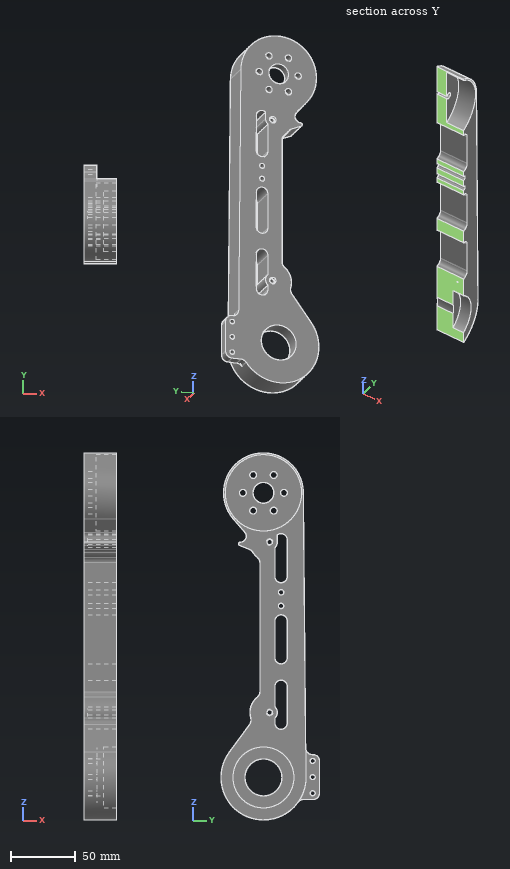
import cadquery as cq
import math

total_height = 286
total_depth = 77.0
thickness = 25.5
blend_radius = 5.1

large_radius = 33.2
small_radius = 31.2
end_spacing = total_height - large_radius - small_radius
large_bore_radius = 14.3
small_bore_radius = 8.0
large_seat_radius = 23.7
large_seat_depth = 10.0
small_pocket_radius = 29.7
small_pocket_depth = 16.0
small_end = (0, end_spacing)

bolt_count = 6
bolt_circle_radius = 16.0
bolt_hole_radius = 2.5

front_edge_y = -3.0
slot_y = 13.7
slot_width = 9.5
slot_length = 38.0
slot_heights = (56.5, 107.5, 170.7)
pin_hole_radius = 2.0
pin_heights = (133.5, 144.0)

lug_y = 5.0
lug_heights = (50.5, 183.3)
lower_lug, upper_lug = [(lug_y, z) for z in lug_heights]
lug_radius = 15.5
screw_wall_radius = 6.0
screw_hole_radius = 2.0
screw_head_radius = 2.5
screw_head_depth = 3.0

lower_shoulder_angle = 180 - 36.3
upper_shoulder_angle = 180 + 41
lower_shoulder_blend = 6.3
bay_radius = 4.5

finger_tip_radius = 1.5
finger_tip_y = -18.0
finger_slope = 22
finger_tip = (finger_tip_y, upper_lug[1] - finger_tip_radius)
finger_under_angle = 270 - finger_slope

tab_thickness = 10.0
tab_back_y = total_depth - large_radius
tab_height = 35.2
tab_z = 0.3
tab_hole_y = 38.3
tab_hole_pitch = 12.5
tab_hole_radius = 1.85


def polar(center, radius, angle):
    """Point at a radius and angle (degrees from +Y towards +Z) around a centre."""
    a = math.radians(angle)
    return (center[0] + radius * math.cos(a), center[1] + radius * math.sin(a))


def sketch(x=0):
    return cq.Workplane("YZ", origin=(x, 0, 0))


def disc(center, radius):
    return sketch().center(*center).circle(radius).extrude(thickness)


def plate(points):
    return sketch().polyline(points).close().extrude(thickness)


def blend(body, corner, radius=blend_radius, reach=1.0):
    """Round the X-parallel edge that passes near a corner point."""
    y, z = corner
    box = cq.selectors.BoxSelector((-3, y - reach, z - reach), (thickness + 3, y + reach, z + reach))
    return body.edges("|X").edges(box).fillet(radius)


def shank():
    taper = math.degrees(math.asin((large_radius - small_radius) / end_spacing))
    return plate([
        (0, 0),
        polar((0, 0), large_radius, taper),
        polar(small_end, small_radius, taper),
        small_end,
        (front_edge_y, end_spacing),
        (front_edge_y, 0),
    ])


def lower_shoulder_corner():
    """Point where the lower flank meets the lower lug circle."""
    normal = polar((0, 0), 1, lower_shoulder_angle)
    lug_offset = normal[0] * lower_lug[0] + normal[1] * lower_lug[1]
    swing = math.degrees(math.acos((large_radius - lug_offset) / lug_radius))
    return polar(lower_lug, lug_radius, lower_shoulder_angle + swing)


def lower_shoulder():
    return plate([
        (0, 0),
        polar((0, 0), large_radius, lower_shoulder_angle),
        lower_shoulder_corner(),
        lower_lug,
    ])


def finger_corner():
    """Point where the underside of the finger meets the upper lug circle."""
    normal = polar((0, 0), 1, finger_under_angle)
    tip_offset = normal[0] * (finger_tip[0] - upper_lug[0]) + normal[1] * (finger_tip[1] - upper_lug[1])
    swing = math.degrees(math.acos((tip_offset + finger_tip_radius) / lug_radius))
    return polar(upper_lug, lug_radius, finger_under_angle - swing)


def hook():
    """Upper flank, round bay and finger in one outline."""
    bay_z = upper_lug[1] + bay_radius
    flank = math.radians(upper_shoulder_angle)
    bay_y = (small_radius + bay_radius - (bay_z - end_spacing) * math.sin(flank)) / math.cos(flank)
    bay = (bay_y, bay_z)
    bay_start = upper_shoulder_angle - 180
    return (
        sketch()
        .moveTo(*small_end)
        .lineTo(*polar(small_end, small_radius, upper_shoulder_angle))
        .lineTo(*polar(bay, bay_radius, bay_start))
        .threePointArc(polar(bay, bay_radius, (bay_start - 90) / 2), polar(bay, bay_radius, -90))
        .lineTo(*polar(finger_tip, finger_tip_radius, 90))
        .threePointArc(polar(finger_tip, finger_tip_radius, 180),
                       polar(finger_tip, finger_tip_radius, finger_under_angle))
        .lineTo(*finger_corner())
        .lineTo(*upper_lug)
        .close()
        .extrude(thickness)
    )


def tab():
    return (
        sketch()
        .center(tab_back_y / 2, tab_z)
        .rect(tab_back_y, tab_height)
        .extrude(tab_thickness)
        .edges("|X and >Y")
        .fillet(blend_radius)
    )


def slots():
    """Three slots, narrowed where they pass the walls around the lug screws."""
    cut = (
        sketch()
        .pushPoints([(slot_y, z) for z in slot_heights])
        .slot2D(slot_length, slot_width, 90)
        .extrude(thickness)
    )
    for lug in (lower_lug, upper_lug):
        cut = cut.cut(disc(lug, screw_wall_radius))
    wall_side_y = upper_lug[0] + screw_wall_radius
    wall_top_z = small_end[1]
    return cut.cut(plate([
        upper_lug,
        (wall_side_y, upper_lug[1]),
        (wall_side_y, wall_top_z),
        (upper_lug[0], wall_top_z),
    ]))


def holes(centers, radius, depth=thickness):
    return sketch().pushPoints(centers).circle(radius).extrude(depth)


def far_pocket(center, radius, depth):
    """Round recess sunk from the far (+X) face."""
    return sketch(thickness - depth).center(*center).circle(radius).extrude(depth)


body = disc((0, 0), large_radius).union(disc(small_end, small_radius))
for lug in (lower_lug, upper_lug):
    body = body.union(disc(lug, lug_radius))
for part in (shank(), lower_shoulder(), hook(), tab()):
    body = body.union(part)

lug_rise = math.sqrt(lug_radius ** 2 - (front_edge_y - lug_y) ** 2)
body = blend(body, (front_edge_y, lower_lug[1] + lug_rise))
body = blend(body, (front_edge_y, upper_lug[1] - lug_rise))
body = blend(body, lower_shoulder_corner(), lower_shoulder_blend)
body = blend(body, finger_corner())

tab_top = tab_z + tab_height / 2
tab_bottom = tab_z - tab_height / 2
body = blend(body, (large_radius, tab_top))
body = blend(body, (math.sqrt(large_radius ** 2 - tab_bottom ** 2), tab_bottom))

bolt_centers = [polar(small_end, bolt_circle_radius, i * 360 / bolt_count) for i in range(bolt_count)]
tab_centers = [(tab_hole_y, tab_z + i * tab_hole_pitch) for i in (-1, 0, 1)]
openings = (
    holes([(0, 0)], large_bore_radius),
    holes([small_end], small_bore_radius),
    holes(bolt_centers, bolt_hole_radius),
    holes([(slot_y, z) for z in pin_heights], pin_hole_radius),
    holes(tab_centers, tab_hole_radius),
    holes([lower_lug, upper_lug], screw_hole_radius),
    holes([lower_lug, upper_lug], screw_head_radius, screw_head_depth),
    slots(),
    far_pocket((0, 0), large_seat_radius, large_seat_depth),
    far_pocket(small_end, small_pocket_radius, small_pocket_depth),
)
for opening in openings:
    body = body.cut(opening)

result = body